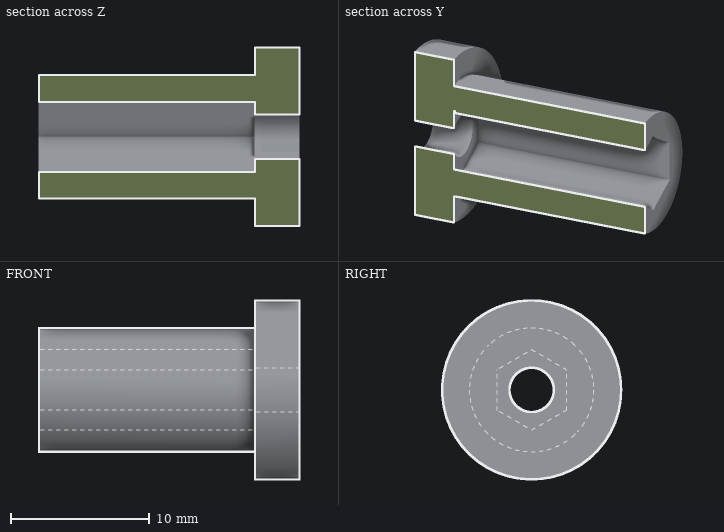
import cadquery as cq
import math

total_length = 18.91
head_length = 3.25
head_diameter = 13.0
shank_diameter = 9.0
bore_diameter = 3.2
hex_across_flats = 5.05

shank_length = total_length - head_length
hex_across_corners = hex_across_flats / math.cos(math.radians(30))


def cylinder_along_x(start, length, diameter):
    """Solid cylinder on the X axis, beginning at X = start."""
    return cq.Workplane("YZ", origin=(start, 0, 0)).circle(diameter / 2).extrude(length)


def hex_socket():
    """Hexagonal prism filling the shank length, with two corners on the Z axis."""
    return (
        cq.Workplane("YZ")
        .transformed(rotate=(0, 0, 90))
        .polygon(6, hex_across_corners)
        .extrude(shank_length)
    )


shank = cylinder_along_x(0, shank_length, shank_diameter)
head = cylinder_along_x(shank_length, head_length, head_diameter)
bore = cylinder_along_x(0, total_length, bore_diameter)

result = shank.union(head).cut(bore).cut(hex_socket())